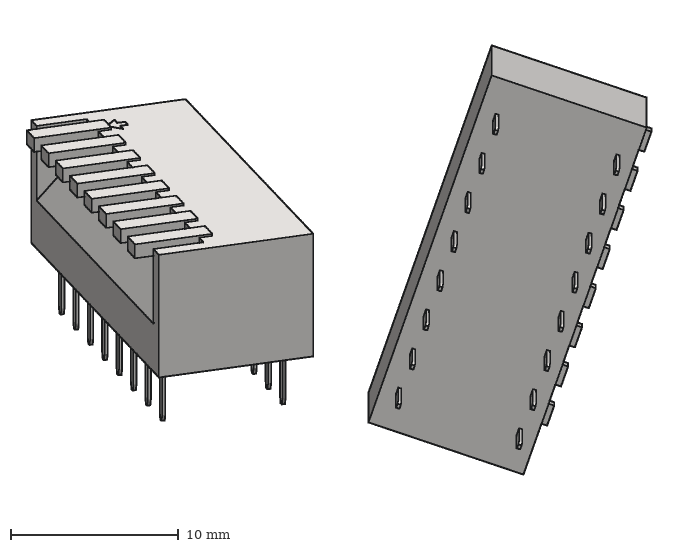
import cadquery as cq


length = 22.5
depth = 9.79
height = 7.92
front_y = -depth / 2

end_wall = 0.97
recess_length = length - 2 * end_wall
recess_depth = 3.17
recess_back_drop = 1.65
recess_front_drop = recess_back_drop + recess_depth

position_count = 8
lever_row_span = 17.75
pitch = lever_row_span / (position_count - 1)
lever_width = 1.3
lever_thickness = 0.9
lever_rise = 0.14
lever_overhang = 0.9
lever_length = 4.9
lever_back_y = front_y - lever_overhang + lever_length

pin_width = 0.47
pin_thickness = 0.2
pin_length = 3.8
pin_tip_length = 0.43
pin_tip_width = 0.25
pin_row_spacing = 7.63

arrow_shaft_width = 0.5
arrow_shaft_length = 0.5
arrow_head_width = 1.53
arrow_head_length = 0.76
arrow_under_lever = 0.07
arrow_engraving = 0.02

position_xs = [(i - (position_count - 1) / 2) * pitch for i in range(position_count)]


def make_housing():
    block = cq.Workplane("XY").box(length, depth, height, centered=(True, True, False))
    recess_back_y = front_y + recess_depth
    recess = (
        cq.Workplane("YZ", origin=(-recess_length / 2, 0, 0))
        .moveTo(front_y, height)
        .lineTo(recess_back_y, height)
        .lineTo(recess_back_y, height - recess_back_drop)
        .lineTo(front_y, height - recess_front_drop)
        .close()
        .extrude(recess_length)
    )
    return block.cut(recess)


def make_arrow():
    """Arrow cutter whose tip points toward -Y and ends just under the first lever."""
    tip_y = lever_back_y - arrow_under_lever
    head_y = tip_y + arrow_head_length
    tail_y = head_y + arrow_shaft_length
    return (
        cq.Workplane("XY", origin=(position_xs[0], 0, height - arrow_engraving))
        .moveTo(0, tip_y)
        .lineTo(arrow_head_width / 2, head_y)
        .lineTo(arrow_shaft_width / 2, head_y)
        .lineTo(arrow_shaft_width / 2, tail_y)
        .lineTo(-arrow_shaft_width / 2, tail_y)
        .lineTo(-arrow_shaft_width / 2, head_y)
        .lineTo(-arrow_head_width / 2, head_y)
        .close()
        .extrude(arrow_engraving)
    )


def make_lever(x):
    bottom_z = height + lever_rise - lever_thickness
    return (
        cq.Workplane("XY", origin=(x, lever_back_y - lever_length / 2, bottom_z))
        .box(lever_width, lever_length, lever_thickness, centered=(True, True, False))
    )


def make_pin(x, y):
    """Flat pin hanging from the underside, narrowing in width to a blunt tip."""
    taper_z = pin_tip_length - pin_length
    return (
        cq.Workplane("XZ", origin=(x, y + pin_thickness / 2, 0))
        .moveTo(-pin_width / 2, 0)
        .lineTo(pin_width / 2, 0)
        .lineTo(pin_width / 2, taper_z)
        .lineTo(pin_tip_width / 2, -pin_length)
        .lineTo(-pin_tip_width / 2, -pin_length)
        .lineTo(-pin_width / 2, taper_z)
        .close()
        .extrude(pin_thickness)
    )


result = make_housing().cut(make_arrow())
for position_x in position_xs:
    result = result.union(make_lever(position_x))
    for row_y in (-pin_row_spacing / 2, pin_row_spacing / 2):
        result = result.union(make_pin(position_x, row_y))